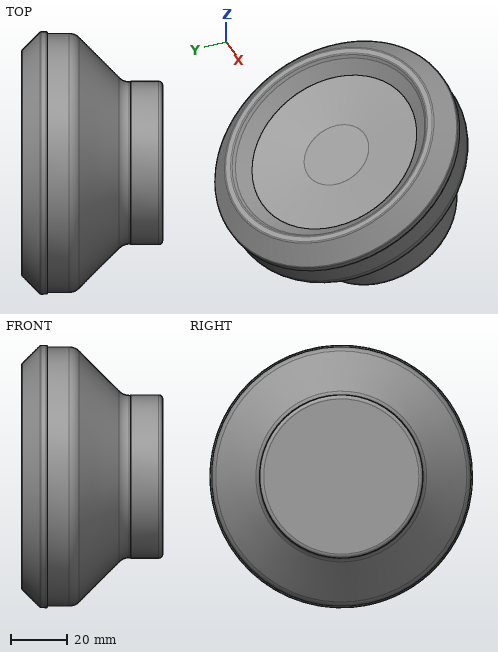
import cadquery as cq
import math

total_length = 50.0
ring_diameter = 93.1
ring_radius = ring_diameter / 2
ring_length = 9.1
bevel_length = 6.6
bevel_edge_fillet = 0.7
rear_edge_fillet = 0.5
edge_margin = 0.1
rim_fillet = 0.7
mouth_radius = 37.4
lead_in_depth = 1.1
funnel_end_radius = 31.6
funnel_depth = 5.0
disc_radius = 12.4
disc_depth = 7.0

shell_radius = 92.0 / 2
shoulder_start = 16.8
blend_radius = 5.0
neck_radius = 57.6 / 2
collar_radius = 58.0 / 2
collar_start = 38.55
collar_end_fillet = 1.5


def revolve_about_x(outline):
    """Revolve a closed outline, drawn as (X, radius), a full turn about X."""
    return outline.close().revolve(360, (0, 0, 0), (1, 0, 0))


def make_ring():
    """Bevelled front ring whose opening is a 45-degree lead-in, then a wider-angled funnel."""
    bevel_front_radius = ring_radius - bevel_length
    ring = revolve_about_x(
        cq.Workplane("XY")
        .moveTo(0, mouth_radius)
        .lineTo(0, bevel_front_radius)
        .lineTo(bevel_length, ring_radius)
        .lineTo(ring_length, ring_radius)
        .lineTo(ring_length, funnel_end_radius)
        .lineTo(funnel_depth, funnel_end_radius)
        .lineTo(lead_in_depth, mouth_radius - lead_in_depth)
    )
    rim_edges = ring.faces("<X").edges()
    ring = ring.newObject(rim_edges.vals()).fillet(rim_fillet)
    bevel_edge = cq.selectors.BoxSelector(
        (bevel_length - edge_margin, -ring_radius - edge_margin, -ring_radius - edge_margin),
        (bevel_length + edge_margin, ring_radius + edge_margin, ring_radius + edge_margin),
        boundingbox=True,
    )
    ring = ring.edges(bevel_edge).fillet(bevel_edge_fillet)
    rear_edge = cq.selectors.RadiusNthSelector(-1)
    return ring.faces(">X").edges(rear_edge).fillet(rear_edge_fillet)


def make_housing():
    """Solid housing: wide shell, 45-degree cone, neck and rear collar."""
    drop = blend_radius * (1 - math.cos(math.pi / 4))
    run = blend_radius * math.sin(math.pi / 4)
    cone_start = shoulder_start + run
    cone_start_radius = shell_radius - drop
    cone_end_radius = neck_radius + drop
    cone_end = cone_start + cone_start_radius - cone_end_radius
    neck_start = cone_end + run
    bend = math.pi / 8
    shoulder_middle = (
        shoulder_start + blend_radius * math.sin(bend),
        shell_radius - blend_radius * (1 - math.cos(bend)),
    )
    neck_middle = (
        neck_start - blend_radius * math.sin(bend),
        neck_radius + blend_radius * (1 - math.cos(bend)),
    )
    collar_step = collar_radius - neck_radius
    housing = revolve_about_x(
        cq.Workplane("XY")
        .moveTo(disc_depth, 0)
        .lineTo(disc_depth, disc_radius)
        .lineTo(funnel_depth, funnel_end_radius)
        .lineTo(ring_length, funnel_end_radius)
        .lineTo(ring_length, shell_radius)
        .lineTo(shoulder_start, shell_radius)
        .threePointArc(shoulder_middle, (cone_start, cone_start_radius))
        .lineTo(cone_end, cone_end_radius)
        .threePointArc(neck_middle, (neck_start, neck_radius))
        .lineTo(collar_start, neck_radius)
        .lineTo(collar_start + collar_step, collar_radius)
        .lineTo(total_length, collar_radius)
        .lineTo(total_length, 0)
    )
    return housing.faces(">X").edges().fillet(collar_end_fillet)


ring = make_ring()
housing = make_housing()
result = cq.Compound.makeCompound([ring.val(), housing.val()])